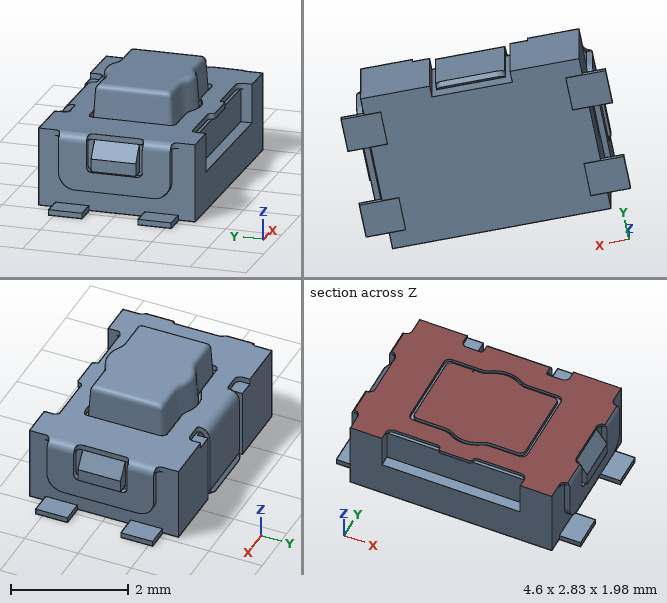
import cadquery as cq
import math


body_length = 3.8
body_width = 2.8
body_height = 1.4
half_length = body_length / 2
half_width = body_width / 2
sheet = 0.1
sheet_radius = 0.1
small_radius = sheet_radius / 2
overlap = 0.045

opening_length = 2.2
opening_width = 1.55
bulge_reach = 0.44
bulge_height = 0.125
bulge_crest_radius = 0.55
button_gap = 0.05
button_height = 0.55
button_draft = 4.2
button_top_radius = 0.1

recess_length = 2.6
recess_depth = 0.202
recess_height = 0.7
lip_depth = 0.16
lip_half_length = 0.317
wing_depth = lip_depth + 2 * small_radius

notch_length = 1.4
notch_depth = 0.202
strap_length = 1.2
strap_setback = 0.015
rear_cutout_length = 2.0
rear_cutout_depth = 0.245
relief_radius = 0.035
hook_angle = math.radians(35)
hook_drop = 0.028
hook_overhang = 0.035
hook_corner_radius = 0.135

clip_width = 2.0
clip_height = 1.0
clip_bend_radius = 0.15
clip_corner_radius = 0.3
window_width = 1.005
window_depth = 0.65
catch_width = window_width - 2 * sheet_radius
catch_reach = 0.2
catch_edge_depth = 0.385
catch_bottom_depth = 0.61

pad_tip = 2.3
pad_inset = 0.29
pad_width = 0.6
pad_offset = 0.8
pad_drop = 0.015


def block(x_range, y_range, z_range):
    """Box between the given limits."""
    sizes = [high - low for low, high in (x_range, y_range, z_range)]
    corner = (x_range[0], y_range[0], z_range[0])
    return cq.Workplane("XY").box(*sizes, centered=False).translate(corner)


def both_ends(solid):
    """The solid together with its mirror image at the opposite X end."""
    return solid.union(solid.mirror("YZ"))


def bulged_outline(inset, z):
    """Rounded rectangle with an S-sided bulge in each long side, moved inwards by inset."""
    x_end = opening_length / 2 - inset
    y_side = opening_width / 2 - inset
    y_crest = y_side + bulge_height
    crest_radius = bulge_crest_radius - inset
    radius_sum = (bulge_reach**2 + bulge_height**2) / (2 * bulge_height)
    x_joint = bulge_reach * crest_radius / radius_sum
    y_joint = y_crest - bulge_height * crest_radius / radius_sum
    foot_radius = radius_sum - crest_radius
    corner = sheet_radius

    outline = cq.Workplane("XY", origin=(0, 0, z)).moveTo(-x_end, -y_side + corner)
    outline = outline.lineTo(-x_end, y_side - corner)
    outline = outline.radiusArc((-x_end + corner, y_side), corner)
    outline = outline.lineTo(-bulge_reach, y_side)
    outline = outline.radiusArc((-x_joint, y_joint), -foot_radius)
    outline = outline.radiusArc((x_joint, y_joint), crest_radius)
    outline = outline.radiusArc((bulge_reach, y_side), -foot_radius)
    outline = outline.lineTo(x_end - corner, y_side)
    outline = outline.radiusArc((x_end, y_side - corner), corner)
    outline = outline.lineTo(x_end, -y_side + corner)
    outline = outline.radiusArc((x_end - corner, -y_side), corner)
    outline = outline.lineTo(bulge_reach, -y_side)
    outline = outline.radiusArc((x_joint, -y_joint), -foot_radius)
    outline = outline.radiusArc((-x_joint, -y_joint), crest_radius)
    outline = outline.radiusArc((-bulge_reach, -y_side), -foot_radius)
    outline = outline.lineTo(-x_end + corner, -y_side)
    outline = outline.radiusArc((-x_end, -y_side + corner), corner)
    return outline.close()


def make_button():
    """Drafted button that stands on the floor of the cover opening."""
    button = bulged_outline(button_gap, -sheet).extrude(button_height + sheet, taper=button_draft)
    button = button.faces(">Z").edges().fillet(button_top_radius)
    root = bulged_outline(button_gap, -sheet - overlap).extrude(overlap)
    return button.union(root)


def make_front_recess():
    """Recess in the front wall, with a stepped cover edge above it."""
    front = -half_width
    half_recess = recess_length / 2
    wall = block((-half_recess, half_recess), (front - overlap, front + recess_depth), (-recess_height, -sheet))

    y_wing = front + wing_depth
    y_lip = front + lip_depth
    y_step = y_lip + small_radius
    edge = cq.Workplane("XY", origin=(0, 0, -sheet)).moveTo(0, front - overlap)
    edge = edge.lineTo(half_recess, front - overlap)
    edge = edge.lineTo(half_recess, y_wing - sheet_radius)
    edge = edge.radiusArc((half_recess - sheet_radius, y_wing), -sheet_radius)
    edge = edge.lineTo(lip_half_length + small_radius, y_wing)
    edge = edge.radiusArc((lip_half_length, y_step), -small_radius)
    edge = edge.radiusArc((lip_half_length - small_radius, y_lip), small_radius)
    edge = edge.lineTo(0, y_lip).close()
    return wall.union(both_ends(edge.extrude(sheet + overlap)))


def make_rear_cutouts():
    """Notch for the strap and the shallow cover cutouts on both sides of it."""
    rear = half_width + overlap
    notch = block(
        (-notch_length / 2, notch_length / 2),
        (half_width - notch_depth, rear),
        (-body_height - overlap, -sheet),
    )
    side = block(
        (strap_length / 2, rear_cutout_length / 2),
        (half_width - rear_cutout_depth, rear),
        (-sheet, overlap),
    )
    side = side.edges("|Z and <Y and >X").fillet(sheet_radius)
    side = side.edges("|Z and <Y and <X").fillet(relief_radius)
    bend_space = block(
        (-strap_length / 2, strap_length / 2),
        (half_width - notch_depth, rear),
        (-sheet, overlap),
    )
    return notch.union(both_ends(side)).union(bend_space)


def make_strap():
    """Strap bent down from the rear edge of the cover, with its end kicked outwards."""
    outer = half_width - strap_setback
    inner = outer - sheet
    bend_start = half_width - notch_depth
    bend_radius = outer - bend_start
    tip_y = half_width + hook_overhang
    toe_y = tip_y - sheet * math.cos(hook_angle)
    toe_z = -body_height - hook_drop
    tip_z = toe_z + sheet * math.sin(hook_angle)
    outer_kick_z = tip_z + (tip_y - outer) / math.tan(hook_angle)
    inner_kick_z = toe_z + (toe_y - inner) / math.tan(hook_angle)

    profile = cq.Workplane("YZ", origin=(-strap_length / 2, 0, 0)).moveTo(bend_start - overlap, 0)
    profile = profile.lineTo(bend_start, 0)
    profile = profile.radiusArc((outer, -bend_radius), bend_radius)
    profile = profile.lineTo(outer, outer_kick_z)
    profile = profile.lineTo(tip_y, tip_z)
    profile = profile.lineTo(toe_y, toe_z)
    profile = profile.lineTo(inner, inner_kick_z)
    profile = profile.lineTo(inner, -bend_radius)
    profile = profile.radiusArc((bend_start, -sheet), -(bend_radius - sheet))
    profile = profile.lineTo(bend_start - overlap, -sheet).close()
    strap = profile.extrude(strap_length)
    end_corners = cq.selectors.BoxSelector(
        (-strap_length, toe_y, toe_z - overlap), (strap_length, tip_y, tip_z), boundingbox=False
    )
    return strap.edges("not |X").edges(end_corners).fillet(hook_corner_radius)


def make_clip_sheet(width):
    """Sheet bent down over the +X end of the body, before its outline is trimmed."""
    outer = half_length + clip_bend_radius
    inner_radius = clip_bend_radius - sheet
    profile = cq.Workplane("XZ", origin=(0, width / 2, 0)).moveTo(half_length - overlap, 0)
    profile = profile.lineTo(half_length, 0)
    profile = profile.radiusArc((outer, -clip_bend_radius), clip_bend_radius)
    profile = profile.lineTo(outer, -clip_height)
    profile = profile.lineTo(outer - sheet, -clip_height)
    profile = profile.lineTo(outer - sheet, -clip_bend_radius)
    profile = profile.radiusArc((half_length, -sheet), -inner_radius)
    profile = profile.lineTo(half_length - overlap, -sheet).close()
    return profile.extrude(width)


def make_flare(y_edge, direction):
    """Concave flare where an edge of the clip runs into the end of the body."""
    y_root = y_edge + direction * sheet_radius
    flare = cq.Workplane("XY", origin=(0, 0, -sheet)).moveTo(half_length, y_edge)
    flare = flare.lineTo(half_length + sheet_radius, y_edge)
    flare = flare.radiusArc((half_length, y_root), direction * sheet_radius)
    return flare.close().extrude(sheet)


def make_clip():
    """Clip at the +X end: bent sheet with a catch window and flared roots."""
    clip = make_clip_sheet(clip_width)
    clip = clip.edges("|X and <Z").fillet(clip_corner_radius)
    x_range = (half_length, half_length + clip_bend_radius + overlap)
    window = block(x_range, (-window_width / 2, window_width / 2), (-window_depth, overlap))
    window = window.edges("|X and <Z").fillet(sheet_radius)
    clip = clip.cut(window)

    wide_sheet = make_clip_sheet(clip_width + 2 * sheet_radius)
    for side in (-1, 1):
        for y_edge, direction in ((side * clip_width / 2, side), (side * window_width / 2, -side)):
            clip = clip.union(make_flare(y_edge, direction).intersect(wide_sheet))
    return clip


def make_catch():
    """Wedge on the +X end of the body that snaps into the clip window."""
    root = half_length - overlap
    tip = half_length + catch_reach
    profile = cq.Workplane("XZ", origin=(0, catch_width / 2, 0)).moveTo(root, -sheet)
    profile = profile.lineTo(half_length, -sheet)
    profile = profile.lineTo(tip, -catch_edge_depth)
    profile = profile.lineTo(tip, -catch_bottom_depth)
    profile = profile.lineTo(root, -catch_bottom_depth).close()
    return profile.extrude(catch_width)


def make_pads():
    """Two solder pads at the +X end, set slightly below the body."""
    bottom = -body_height - pad_drop
    pads = cq.Workplane("XY")
    for y_centre in (-pad_offset, pad_offset):
        y_range = (y_centre - pad_width / 2, y_centre + pad_width / 2)
        pads = pads.union(block((half_length - pad_inset, pad_tip), y_range, (bottom, bottom + sheet)))
    return pads


body = block((-half_length, half_length), (-half_width, half_width), (-body_height, 0))
body = body.cut(bulged_outline(0, -sheet).extrude(sheet + overlap))
body = body.cut(make_front_recess())
body = body.cut(make_rear_cutouts())
body = body.union(make_strap())
body = body.union(make_button())
for end_part in (make_clip(), make_catch(), make_pads()):
    body = body.union(both_ends(end_part))

result = body